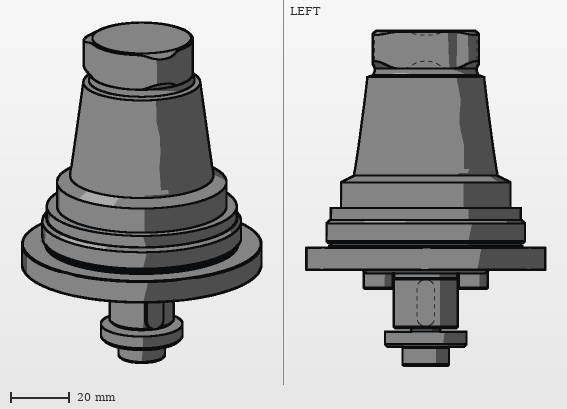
import cadquery as cq
import math


overall_length = 114.5

head_top = 81.8
head_bottom = 68.9
head_radius = 17.5
lobe_count = 3
lobe_reach = 20.0
lobe_tip_radius = 6.5
lobe_blend_radius = 14.0
head_top_face_radius = 16.9
head_edge_height = 0.4
lobe_top_slope_radius = 17.4
lobe_top_drop = 1.1
lobe_under_rise = 2.5

neck_radius = 17.4
shoulder_height = 66.6
shoulder_radius = 18.1
cone_top = 65.9
cone_top_radius = 20.0
cone_bottom = 34.5
cone_bottom_radius = 24.2
cone_foot_height = 33.1
cone_foot_radius = 24.5

upper_collar_top = 30.0
upper_collar_radius = 58 / 2
upper_collar_chamfer_top = 32.3
middle_collar_top = 21.3
middle_collar_radius = 64.96 / 2
ring_top = 17.2
ring_bottom = 10.0
ring_radius = 68 / 2
ring_chamfer = 1.3
groove_top = 9.2
groove_bottom = 8.5
groove_radius = middle_collar_radius
seat_radius = 66.1 / 2

flange_thickness = 7.8
flange_radius = 41.0
flange_edge_chamfer = 0.3
wide_flat_distance = 40.8
narrow_flat_distance = 40.9
wide_flat_angles = [0, 60, 120, 180, 240, 300]
narrow_flat_angles = [90, 270]

boss_depth = 1.1
boss_radius = 21.6
shaft_radius = 22 / 2
shaft_groove_radius = 21.6 / 2
shaft_groove_bottom = -2.6
shaft_top = -3.2
shaft_bottom = -20.0
shaft_chamfer = 0.8
stem_radius = 10 / 2
washer_top = -21.0
washer_bottom = -26.2
washer_radius = 28 / 2
washer_chamfer = 1.0
stud_bottom = head_top - overall_length
stud_radius = 16 / 2
stud_top_chamfer = 0.4
stud_chamfer = 0.6

pin_radius = 10 / 2
pin_offset = 16.2
pin_bottom = -6.5
pin_chamfer = 0.5
key_width = 6.0
key_top = -3.2
key_length = 16.0
key_reach = 12.5
key_seat = 8.0


def polar(radius, angle):
    """Point at the given radius and angle (degrees) around the Z axis."""
    turn = math.radians(angle)
    return (radius * math.cos(turn), radius * math.sin(turn))


def revolve_profile(points):
    """Solid of revolution about Z from (radius, height) points."""
    return cq.Workplane("XZ").polyline(points).close().revolve(360, (0, 0), (0, 1))


def make_body():
    """Neck, cone and collars, down to the top of the flange."""
    flare_out = shoulder_radius - neck_radius
    flare_drop = head_bottom - shoulder_height
    flare_radius = (flare_out**2 + flare_drop**2) / (2 * flare_out)
    half_sweep = math.asin(flare_drop / flare_radius) / 2
    flare_mid_radius = neck_radius + flare_radius * (1 - math.cos(half_sweep))
    flare_mid_height = head_bottom - flare_radius * math.sin(half_sweep)
    profile = (
        cq.Workplane("XZ")
        .moveTo(0, flange_thickness)
        .lineTo(seat_radius, flange_thickness)
        .lineTo(seat_radius, groove_bottom)
        .lineTo(groove_radius, groove_bottom)
        .lineTo(groove_radius, groove_top)
        .lineTo(ring_radius - (ring_bottom - groove_top), groove_top)
        .lineTo(ring_radius, ring_bottom)
        .lineTo(ring_radius, ring_top - ring_chamfer)
        .lineTo(ring_radius - ring_chamfer, ring_top)
        .lineTo(middle_collar_radius, ring_top)
        .lineTo(middle_collar_radius, middle_collar_top)
        .lineTo(upper_collar_radius, middle_collar_top)
        .lineTo(upper_collar_radius, upper_collar_top)
        .lineTo(cone_foot_radius, upper_collar_chamfer_top)
        .lineTo(cone_foot_radius, cone_foot_height)
        .lineTo(cone_bottom_radius, cone_bottom)
        .lineTo(cone_top_radius, cone_top)
        .lineTo(shoulder_radius, shoulder_height)
        .threePointArc((flare_mid_radius, flare_mid_height), (neck_radius, head_bottom))
        .lineTo(0, head_bottom)
        .close()
    )
    return profile.revolve(360, (0, 0), (0, 1))


def make_lobe_outline():
    """Closed head outline: base arcs, concave blends and rounded lobe tips."""
    tip_center = lobe_reach - lobe_tip_radius
    base_side = head_radius + lobe_blend_radius
    tip_side = lobe_tip_radius + lobe_blend_radius
    axis_cosine = (base_side**2 + tip_center**2 - tip_side**2) / (2 * base_side * tip_center)
    blend_angle = math.degrees(math.acos(axis_cosine))
    blend_x, blend_y = polar(base_side, blend_angle)
    tip_angle = math.degrees(math.atan2(blend_y, blend_x - tip_center))
    blend_mid_angle = 180 + (blend_angle + tip_angle) / 2

    tip_x, tip_y = polar(lobe_tip_radius, tip_angle)
    blend_dx, blend_dy = polar(lobe_blend_radius, blend_mid_angle)
    tip_end = (tip_center + tip_x, tip_y)
    blend_mid = (blend_x + blend_dx, blend_y + blend_dy)
    blend_end = polar(head_radius, blend_angle)

    def turned(point, lobe_angle, side=1):
        x, y = point
        return polar(math.hypot(x, y), lobe_angle + side * math.degrees(math.atan2(y, x)))

    step = 360 / lobe_count
    outline = cq.Workplane("XY").workplane(offset=head_bottom).moveTo(*turned(blend_end, 0, -1))
    for index in range(lobe_count):
        angle = index * step
        outline = (
            outline.threePointArc(turned(blend_mid, angle, -1), turned(tip_end, angle, -1))
            .threePointArc(polar(lobe_reach, angle), turned(tip_end, angle))
            .threePointArc(turned(blend_mid, angle), turned(blend_end, angle))
            .threePointArc(polar(head_radius, angle + step / 2), turned(blend_end, angle + step, -1))
        )
    return outline.close()


def make_head():
    """Three-lobed prism with turned slopes above and below the lobes."""
    prism = make_lobe_outline().extrude(head_top - head_bottom)
    envelope = revolve_profile([
        (0, head_bottom),
        (head_radius, head_bottom),
        (lobe_reach, head_bottom + lobe_under_rise),
        (lobe_reach, head_top - head_edge_height - lobe_top_drop),
        (lobe_top_slope_radius, head_top - head_edge_height),
        (head_top_face_radius, head_top),
        (0, head_top),
    ])
    return prism.intersect(envelope)


def make_flange():
    """Disc with flats cut on its rim."""
    flange = cq.Workplane("XY").circle(flange_radius).extrude(flange_thickness)
    flange = flange.edges().chamfer(flange_edge_chamfer)
    flats = [(angle, wide_flat_distance) for angle in wide_flat_angles]
    flats += [(angle, narrow_flat_distance) for angle in narrow_flat_angles]
    for angle, distance in flats:
        cutter = (
            cq.Workplane("XY")
            .box(flange_radius, flange_radius, flange_thickness, centered=(False, True, False))
            .translate((distance, 0, 0))
            .rotate((0, 0, 0), (0, 0, 1), angle)
        )
        flange = flange.cut(cutter)
    return flange


def make_shaft_end():
    """Conical boss, shaft, stem, washer and stud below the flange."""
    return revolve_profile([
        (0, 0),
        (boss_radius, 0),
        (boss_radius - boss_depth, -boss_depth),
        (shaft_groove_radius, -boss_depth),
        (shaft_groove_radius, shaft_groove_bottom),
        (shaft_radius, shaft_top),
        (shaft_radius, shaft_bottom + shaft_chamfer),
        (shaft_radius - shaft_chamfer, shaft_bottom),
        (stem_radius, shaft_bottom),
        (stem_radius, washer_top),
        (washer_radius, washer_top),
        (washer_radius, washer_bottom + washer_chamfer),
        (washer_radius - washer_chamfer, washer_bottom),
        (stud_radius - stud_top_chamfer, washer_bottom),
        (stud_radius, washer_bottom - stud_top_chamfer),
        (stud_radius, stud_bottom + stud_chamfer),
        (stud_radius - stud_chamfer, stud_bottom),
        (0, stud_bottom),
    ])


def make_pins():
    """Two drive pins on opposite sides of the shaft."""
    return (
        cq.Workplane("XY")
        .pushPoints([(0, pin_offset), (0, -pin_offset)])
        .circle(pin_radius)
        .extrude(pin_bottom)
        .faces("<Z")
        .chamfer(pin_chamfer)
    )


def make_key():
    """Round-ended key standing out of the +X side of the shaft."""
    return (
        cq.Workplane("YZ")
        .workplane(offset=key_seat)
        .center(0, key_top - key_length / 2)
        .slot2D(key_length, key_width, 90)
        .extrude(key_reach - key_seat)
    )


result = (
    make_body()
    .union(make_head())
    .union(make_flange())
    .union(make_shaft_end())
    .union(make_pins())
    .union(make_key())
)